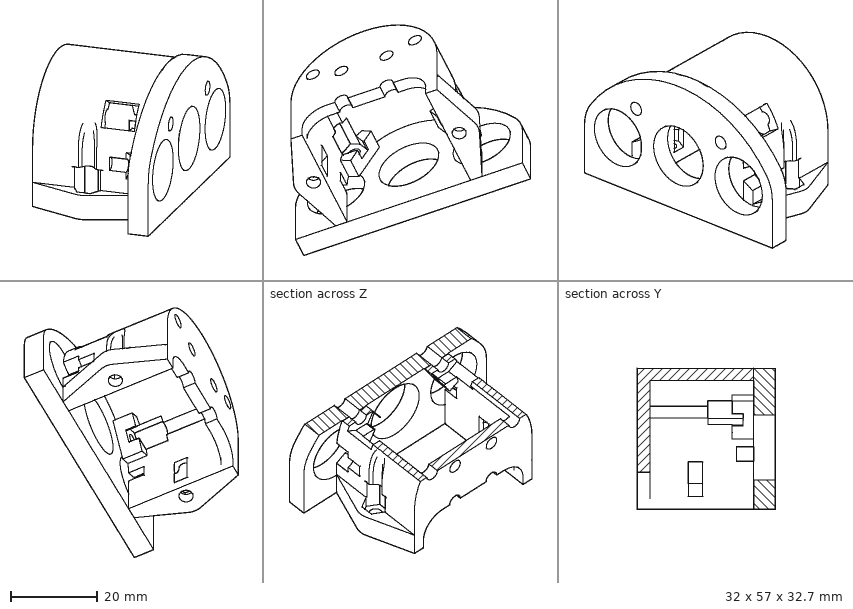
import cadquery as cq
import math

plate_thickness = 5.0
housing_length = 27.0
plate_half_width = 28.5
total_height = 32.7

arch_radius = 18.35
side_wall_thickness = 2.85
front_wall_thickness = 3.0
arch_center_z = total_height - arch_radius
cavity_radius = arch_radius - side_wall_thickness

front_opening_height = 8.55
front_opening_corner_radius = 6.0

screw_diameter = 3.25
nut_corner_radius = 3.25
nut_corner_diameter = 2 * nut_corner_radius
nut_sides = 6
nut_side_length = nut_corner_radius
nut_half_side_angle = 180 / nut_sides

motor_hole_circle_radius = 8.05
motor_hole_count = 4
motor_hole_start_angle = 45
shaft_opening_diameter = 15.0

ear_height = 6.0
ear_tip_radius = 4.7
ear_screw_x = housing_length / 2
ear_screw_y = 18.3
groove_chamfer = 0.6
ear_nut_floor_z = 3.0
ear_nut_top_z = 11.0
nut_mouth_flare_width = 0.55
nut_mouth_flare_depth = 0.15

upper_screw_y = 12.8
upper_screw_z = 22.35
boss_start_x = 22.0
boss_half_width = 5.1
boss_inner_reach = 3.3
slot_start_x = 16.4
slot_end_x = 24.55
slot_tilt = 30.0

side_screw_y = ear_screw_y
side_screw_z = 12.8
side_screw_start_x = 18.95
side_nut_start_x = 23.0
plate_side_hole_diameter = 14.35
plate_shoulder_radius = plate_half_width - side_screw_y


def along_x(start_x):
    """Sketch plane at start_x with local axes Y and Z, extruding towards +X."""
    return cq.Workplane("YZ", origin=(start_x, 0, 0))


def mirrored_pair(feature):
    """The feature and its mirror image on the other side of the XZ plane."""
    return feature.union(feature.mirror("XZ"))


def arch(radius, start_x, end_x):
    return (
        along_x(start_x)
        .moveTo(-radius, 0)
        .lineTo(-radius, arch_center_z)
        .threePointArc((0, arch_center_z + radius), (radius, arch_center_z))
        .lineTo(radius, 0)
        .close()
        .extrude(end_x - start_x)
    )


def screw_hole_x(y, z, start_x, end_x):
    return along_x(start_x).center(y, z).circle(screw_diameter / 2).extrude(end_x - start_x)


def front_opening():
    block = along_x(0).rect(2 * cavity_radius, 2 * front_opening_height).extrude(front_wall_thickness)
    return block.edges("|X and >Z").fillet(front_opening_corner_radius)


def motor_holes():
    return (
        along_x(0)
        .center(0, arch_center_z)
        .polarArray(motor_hole_circle_radius, motor_hole_start_angle, 360, motor_hole_count)
        .circle(screw_diameter / 2)
        .extrude(front_wall_thickness)
    )


def ear():
    """Ear on the +Y side: straight flanks tangent to a rounded tip around the screw."""
    tangent_angle = math.asin(ear_tip_radius / ear_screw_x)
    tangent_x = ear_tip_radius * math.sin(tangent_angle)
    tangent_y = ear_screw_y + ear_tip_radius * math.cos(tangent_angle)
    return (
        cq.Workplane("XY")
        .moveTo(0, cavity_radius)
        .lineTo(0, arch_radius)
        .lineTo(ear_screw_x - tangent_x, tangent_y)
        .threePointArc((ear_screw_x, ear_screw_y + ear_tip_radius), (ear_screw_x + tangent_x, tangent_y))
        .lineTo(housing_length, arch_radius)
        .lineTo(housing_length, cavity_radius)
        .close()
        .extrude(ear_height)
    )


def ear_screw_bore(height):
    return (
        cq.Workplane("XY")
        .center(ear_screw_x, ear_screw_y)
        .circle(screw_diameter / 2)
        .extrude(height)
    )


def ear_nut_pocket():
    """Vertical hexagonal pocket with a shallow flared mouth at the side wall."""
    height = ear_nut_top_z - ear_nut_floor_z
    hexagon = (
        cq.Workplane("XY", origin=(ear_screw_x, ear_screw_y, ear_nut_floor_z))
        .polygon(nut_sides, nut_corner_diameter)
        .extrude(height)
    )
    mouth_half_width = nut_corner_radius + nut_mouth_flare_width
    flare = (
        cq.Workplane("XY", origin=(ear_screw_x, arch_radius, ear_height))
        .moveTo(-mouth_half_width, 0)
        .lineTo(-nut_corner_radius, -nut_mouth_flare_depth)
        .lineTo(nut_corner_radius, -nut_mouth_flare_depth)
        .lineTo(mouth_half_width, 0)
        .close()
        .extrude(ear_nut_top_z - ear_height)
    )
    return hexagon.union(flare)


def upper_screw_plane(start_x):
    """Plane across the upper +Y screw, its first axis pointing outwards along the slot."""
    tilt = math.radians(slot_tilt)
    return cq.Workplane(
        cq.Plane(
            origin=(start_x, upper_screw_y, upper_screw_z),
            xDir=(0, math.cos(tilt), math.sin(tilt)),
            normal=(1, 0, 0),
        )
    )


def upper_boss():
    """Block around the upper screw, trimmed to the inside of the shell."""
    outer_reach = arch_radius / 2
    block = (
        upper_screw_plane(boss_start_x)
        .center((outer_reach - boss_inner_reach) / 2, 0)
        .rect(outer_reach + boss_inner_reach, 2 * boss_half_width)
        .extrude(housing_length - boss_start_x)
    )
    return arch(cavity_radius, boss_start_x, housing_length).intersect(block)


def upper_nut_slot():
    """Slot through the shell that lets a nut slide onto the upper screw."""
    length = slot_end_x - slot_start_x
    hexagon = (
        upper_screw_plane(slot_start_x)
        .transformed(rotate=(0, 0, nut_half_side_angle))
        .polygon(nut_sides, nut_corner_diameter)
        .extrude(length)
    )
    channel = (
        upper_screw_plane(slot_start_x)
        .center(arch_radius / 2, 0)
        .rect(arch_radius, nut_corner_diameter)
        .extrude(length)
    )
    inner_gap = (
        upper_screw_plane(slot_start_x)
        .center(-boss_inner_reach / 2, 0)
        .rect(boss_inner_reach, nut_side_length)
        .extrude(length)
    )
    return hexagon.union(channel).union(inner_gap)


def side_nut_pocket():
    return (
        along_x(side_nut_start_x)
        .center(side_screw_y, side_screw_z)
        .transformed(rotate=(0, 0, nut_half_side_angle))
        .polygon(nut_sides, nut_corner_diameter)
        .extrude(housing_length - side_nut_start_x)
    )


def grooved_arch():
    """Outer arch with the vertical screwdriver grooves and their chamfered rims."""
    body = arch(arch_radius, 0, housing_length).cut(mirrored_pair(ear_screw_bore(total_height)))
    reach = screw_diameter
    for side in (-1, 1):
        wall_y = side * arch_radius
        rim = cq.selectors.BoxSelector(
            (ear_screw_x - reach, wall_y - reach, groove_chamfer),
            (ear_screw_x + reach, wall_y + reach, total_height),
        )
        body = body.edges(rim).chamfer(groove_chamfer)
    return body


def make_housing():
    body = grooved_arch()
    body = body.cut(arch(cavity_radius, front_wall_thickness, housing_length))
    body = body.union(mirrored_pair(ear())).union(mirrored_pair(upper_boss()))
    body = body.cut(front_opening()).cut(motor_holes())
    for cutter in (
        ear_screw_bore(ear_height),
        ear_nut_pocket(),
        upper_nut_slot(),
        screw_hole_x(upper_screw_y, upper_screw_z, 0, housing_length),
        side_nut_pocket(),
        screw_hole_x(side_screw_y, side_screw_z, side_screw_start_x, housing_length),
    ):
        body = body.cut(mirrored_pair(cutter))
    return body


def plate_blank():
    """Plate outline: a large top arc tangent to two shoulder arcs, then straight sides."""
    radius_gap = total_height - plate_shoulder_radius
    top_center_z = (radius_gap**2 - side_screw_y**2 - side_screw_z**2) / (2 * (radius_gap - side_screw_z))
    top_radius = total_height - top_center_z
    rise = side_screw_z - top_center_z
    tangent_y = top_radius * side_screw_y / math.hypot(side_screw_y, rise)
    tangent_z = top_center_z + top_radius * rise / math.hypot(side_screw_y, rise)
    middle_angle = math.atan2(rise, side_screw_y) / 2
    middle_y = side_screw_y + plate_shoulder_radius * math.cos(middle_angle)
    middle_z = side_screw_z + plate_shoulder_radius * math.sin(middle_angle)
    return (
        along_x(housing_length)
        .moveTo(-plate_half_width, 0)
        .lineTo(-plate_half_width, side_screw_z)
        .threePointArc((-middle_y, middle_z), (-tangent_y, tangent_z))
        .threePointArc((0, total_height), (tangent_y, tangent_z))
        .threePointArc((middle_y, middle_z), (plate_half_width, side_screw_z))
        .lineTo(plate_half_width, 0)
        .close()
        .extrude(plate_thickness)
    )


def make_plate():
    end_x = housing_length + plate_thickness
    shaft_opening = (
        along_x(housing_length)
        .center(0, arch_center_z)
        .circle(shaft_opening_diameter / 2)
        .extrude(plate_thickness)
    )
    side_hole = (
        along_x(housing_length)
        .center(side_screw_y, side_screw_z)
        .circle(plate_side_hole_diameter / 2)
        .extrude(plate_thickness)
    )
    upper_screw_hole = screw_hole_x(upper_screw_y, upper_screw_z, housing_length, end_x)
    return (
        plate_blank()
        .cut(shaft_opening)
        .cut(mirrored_pair(side_hole))
        .cut(mirrored_pair(upper_screw_hole))
    )


housing = make_housing()
plate = make_plate()

result = cq.Compound.makeCompound([housing.val(), plate.val()])